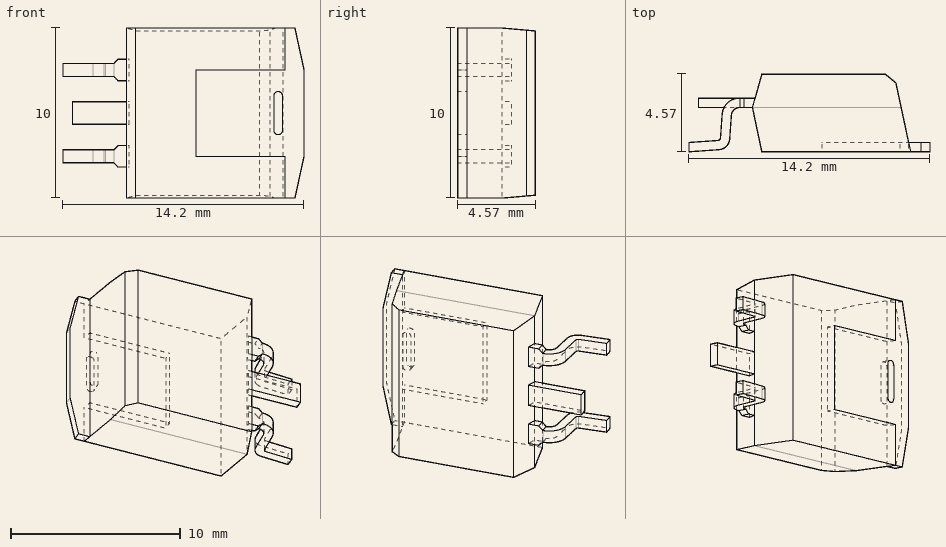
import cadquery as cq
import math


length = 14.2
height = 4.57
width = 10.02
sheet = 0.56
lead_pitch = 2.54

parting_height = 2.61
lead_end_x = 3.74
lead_end_draft = 0.55
tab_end_x = 13.06
tab_end_angle = 12.1
bevel_length = 0.62
bevel_drop = 0.51
side_draft_angle = 5

tab_corner_x = 13.66
tab_tip_width = 2 * lead_pitch
neck_start_x = 7.83
slot_x = 12.67
slot_length = 2.54
slot_width = 0.51

outer_lead_width = 0.78
shoulder_width = 1.28
shoulder_x = 3.255
centre_lead_width = 1.34
centre_lead_x = 0.56
upper_bend_x = 3.0
upper_bend_radius = 0.49
lower_bend_radius = 0.14
lead_lean = math.radians(4)

lead_top = parting_height + sheet
lead_trim_x = lead_end_x + lead_end_draft


def moulding_block():
    """Complete moulded outline, before the tab recess is removed."""
    lean = math.tan(math.radians(tab_end_angle))
    bevel_y = height - bevel_drop
    bevel_x = tab_end_x - bevel_y * lean
    side_profile = (
        cq.Workplane("XY")
        .polyline([
            (lead_end_x + lead_end_draft, 0),
            (tab_end_x, 0),
            (bevel_x, bevel_y),
            (bevel_x - bevel_length, height),
            (lead_end_x + lead_end_draft, height),
            (lead_end_x, parting_height),
        ])
        .close()
        .extrude(width / 2, both=True)
    )
    half_width = width / 2
    side_draft = (height - parting_height) * math.tan(math.radians(side_draft_angle))
    top_half_width = half_width - side_draft
    end_profile = (
        cq.Workplane("YZ")
        .polyline([
            (0, -half_width),
            (parting_height, -half_width),
            (height, -top_half_width),
            (height, top_half_width),
            (parting_height, half_width),
            (0, half_width),
        ])
        .close()
        .extrude(length)
    )
    return side_profile.intersect(end_profile)


def make_tab(block):
    """Metal tab: a full-width plate outside the block, a neck inside it, and a locking slot."""
    half_width = width / 2
    plate = (
        cq.Workplane("XZ")
        .polyline([
            (neck_start_x, -half_width),
            (tab_corner_x, -half_width),
            (length, -tab_tip_width / 2),
            (length, tab_tip_width / 2),
            (tab_corner_x, half_width),
            (neck_start_x, half_width),
        ])
        .close()
        .extrude(-sheet)
    )
    neck = (
        cq.Workplane("XY")
        .box(tab_corner_x - neck_start_x, sheet, tab_tip_width, centered=(False, False, True))
        .translate((neck_start_x, 0, 0))
    )
    slot = (
        cq.Workplane("XZ")
        .center(slot_x, 0)
        .slot2D(slot_length, slot_width, 90)
        .extrude(-sheet)
    )
    return plate.cut(block).union(neck).cut(slot)


def make_centre_lead(block):
    """Straight cropped lead that ends against the block."""
    return (
        cq.Workplane("XY")
        .box(lead_trim_x - centre_lead_x, sheet, centre_lead_width, centered=(False, False, True))
        .translate((centre_lead_x, parting_height, 0))
        .cut(block)
    )


def bent_strip():
    """Outer lead bent from the parting level down to the mounting face, at full shoulder width."""
    sin_lean = math.sin(lead_lean)
    cos_lean = math.cos(lead_lean)
    upper_outer_radius = upper_bend_radius + sheet
    lower_outer_radius = lower_bend_radius + sheet
    upper_x = upper_bend_x
    upper_y = parting_height - upper_bend_radius

    reach = upper_outer_radius + lower_bend_radius
    start_x = upper_x - reach * cos_lean
    start_y = upper_y + reach * sin_lean
    leg_length = (
        start_y * cos_lean - start_x * sin_lean - lower_outer_radius
    ) / math.cos(2 * lead_lean)
    lower_x = start_x - leg_length * sin_lean
    lower_y = start_y - leg_length * cos_lean

    def upper_point(radius, angle):
        return (upper_x - radius * math.cos(angle), upper_y + radius * math.sin(angle))

    def lower_point(radius, angle):
        return (lower_x + radius * math.cos(angle), lower_y - radius * math.sin(angle))

    leg_angle = lead_lean
    foot_angle = math.pi / 2 - lead_lean
    upper_middle = (leg_angle + math.pi / 2) / 2
    lower_middle = (leg_angle + foot_angle) / 2
    return (
        cq.Workplane("XY")
        .moveTo(lead_trim_x, lead_top)
        .lineTo(upper_x, lead_top)
        .threePointArc(
            upper_point(upper_outer_radius, upper_middle),
            upper_point(upper_outer_radius, leg_angle),
        )
        .lineTo(*lower_point(lower_bend_radius, leg_angle))
        .threePointArc(
            lower_point(lower_bend_radius, lower_middle),
            lower_point(lower_bend_radius, foot_angle),
        )
        .lineTo(0, sheet / cos_lean)
        .lineTo(0, 0)
        .lineTo(*lower_point(lower_outer_radius, foot_angle))
        .threePointArc(
            lower_point(lower_outer_radius, lower_middle),
            lower_point(lower_outer_radius, leg_angle),
        )
        .lineTo(*upper_point(upper_bend_radius, leg_angle))
        .threePointArc(
            upper_point(upper_bend_radius, upper_middle),
            (upper_x, parting_height),
        )
        .lineTo(lead_trim_x, parting_height)
        .close()
        .extrude(shoulder_width / 2, both=True)
    )


def make_outer_lead(block, z):
    """Bent lead with a bevelled shoulder that ends against the block."""
    half_lead = outer_lead_width / 2
    half_shoulder = shoulder_width / 2
    shoulder_bevel = half_shoulder - half_lead
    outline = (
        cq.Workplane("XZ")
        .polyline([
            (0, -half_lead),
            (shoulder_x - shoulder_bevel, -half_lead),
            (shoulder_x, -half_shoulder),
            (lead_trim_x, -half_shoulder),
            (lead_trim_x, half_shoulder),
            (shoulder_x, half_shoulder),
            (shoulder_x - shoulder_bevel, half_lead),
            (0, half_lead),
        ])
        .close()
        .extrude(-height)
    )
    return bent_strip().intersect(outline).translate((0, 0, z)).cut(block)


block = moulding_block()
tab = make_tab(block)
housing = block.cut(tab)
centre_lead = make_centre_lead(block)
outer_leads = [make_outer_lead(block, z) for z in (-lead_pitch, lead_pitch)]

bodies = [housing, tab, centre_lead, *outer_leads]
result = cq.Compound.makeCompound([body.solids().val() for body in bodies])